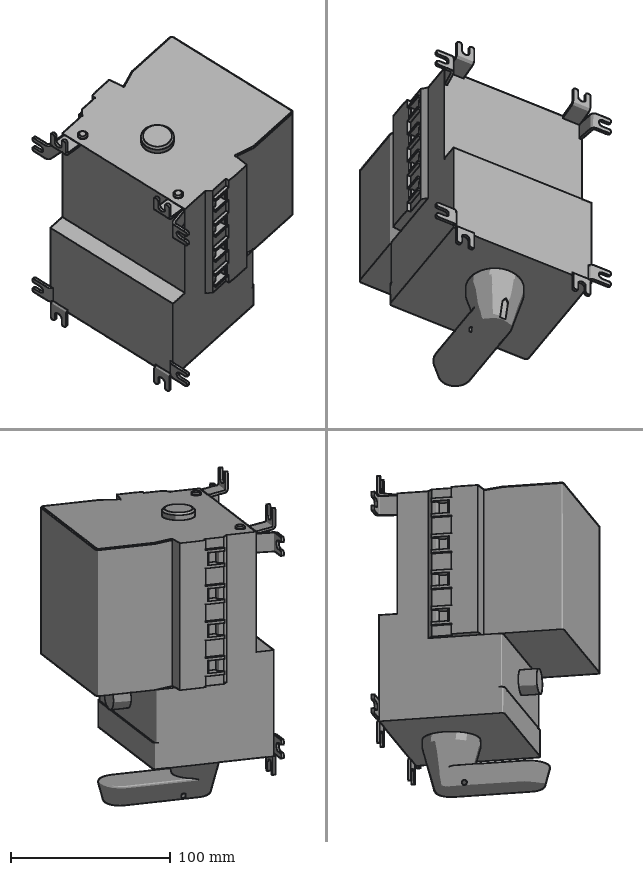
import cadquery as cq
import math

half_width = 49.8
housing_height = 148.0
lower_front_y = 0.0
upper_front_y = 11.8
step_z = 69.5
lower_back_y = 79.6

block_bottom_z = 52.0
block_back_y = 118.7
wing_half_width = 56.0
waist_half_width = 45.7
waist_y = 66.3
wing_back_y = 65.1
wing_slope_y = 52.5
terminal_face_x = 55.5
wing_front_y = 35.0
wing_foot_y = 31.5
channel_floor_x = 53.2
channel_back_y = 47.9
back_corner_radius = 2.2
cover_rim_chamfer = 0.8

terminal_count = 4
terminal_pitch = 23.5
terminal_height = 12.0
top_terminal_z = 135.5
pocket_height = 8.2
pocket_back_y = 46.3
pocket_front_y = 38.8
pocket_depth = 5.9
pocket_step = 1.0
pocket_step_depth = 1.4
pocket_lip_radius = 1.8

sheet = 1.8
bracket_width = 12.4
bracket_reach = 13.1
leg_root = 1.4
upper_leg_in = -2.4
upper_bend_in = 0.0
lower_leg_in = -3.7
lower_bend_in = -0.4
fork_slot_width = 5.5
fork_slot_depth = 8.8
fork_corner_radius = 1.5
bend_inner_radius = 1.2
bend_outer_radius = bend_inner_radius + sheet
upright_bracket_x = 42.0
side_bracket_heights = (8.0, 140.5)

cap_y = 45.0
cap_radius = 10.4
cap_height = 4.7
cap_chamfer = 1.4
screw_x = 38.8
screw_y = 18.5
screw_radius = 3.1
screw_height = 1.8
screw_chamfer = 1.0
button_radius = 8.0
button_z = 34.3
button_back_y = 91.5
plate_height = 17.3
plate_thickness = 0.8

handle_y = 34.7
handle_radius = 18.2
collar_height = 5.1
handle_drop = 35.0
handle_taper = 15.0
arm_top_drop = 20.5
arm_length = 49.5
handle_edge_radius = 3.1
arm_edge_radius = 1.2
pointer_width = 4.0
pointer_tip_drop = 20.2
pointer_shoulder_drop = 22.8
pointer_depth = 0.5
lock_hole_y = 45.7
lock_hole_z = -31.8
lock_hole_radius = 1.5


def box(x0, x1, y0, y1, z0, z1):
    return cq.Workplane("XY").box(x1 - x0, y1 - y0, z1 - z0, centered=False).translate((x0, y0, z0))


def both_sides(shape):
    """The shape together with its mirror image across X = 0."""
    return shape.union(shape.mirror("YZ"))


def make_housing():
    front_step = box(-half_width, half_width, lower_front_y, wing_foot_y, 0, step_z)
    lower = box(-half_width, half_width, lower_front_y, lower_back_y, 0, block_bottom_z)
    plate_back_y = lower_back_y + plate_thickness
    plate = box(-half_width, half_width, wing_foot_y, plate_back_y, 0, plate_height)
    lower = lower.edges("|Z and >Y").fillet(back_corner_radius)
    plate = plate.edges("|Z and >Y").fillet(back_corner_radius)
    right_edge = [
        (half_width, upper_front_y),
        (half_width, wing_foot_y),
        (channel_floor_x, wing_front_y),
        (channel_floor_x, channel_back_y),
        (terminal_face_x, channel_back_y),
        (wing_half_width, wing_slope_y),
        (wing_half_width, wing_back_y),
        (waist_half_width, waist_y),
        (half_width, lower_back_y),
        (half_width, block_back_y),
    ]
    left_edge = [(-x, y) for x, y in reversed(right_edge)]
    upper = (
        cq.Workplane("XY", origin=(0, 0, block_bottom_z))
        .polyline(right_edge + left_edge).close()
        .extrude(housing_height - block_bottom_z)
    )
    upper = upper.edges("|Z and >Y").fillet(back_corner_radius)
    behind_waist = cq.selectors.BoxSelector(
        (-wing_half_width, waist_y + cover_rim_chamfer / 2, housing_height - cover_rim_chamfer),
        (wing_half_width, block_back_y + cover_rim_chamfer, housing_height + cover_rim_chamfer),
    )
    upper = upper.edges(behind_waist).chamfer(cover_rim_chamfer)
    return lower.union(front_step).union(upper).union(plate)


def make_terminal(z):
    """The body of one terminal on the +X wing, centred at height z."""
    low = z - terminal_height / 2
    high = z + terminal_height / 2
    return box(channel_floor_x, terminal_face_x, wing_front_y, channel_back_y, low, high)


def make_pocket(z):
    """The wire pocket of one terminal, stepped at the back and open over a rounded lip at the front."""
    floor_x = terminal_face_x - pocket_depth
    step_x = terminal_face_x - pocket_step_depth
    return (
        cq.Workplane("XY", origin=(0, 0, z - pocket_height / 2))
        .moveTo(terminal_face_x, pocket_back_y)
        .lineTo(step_x, pocket_back_y)
        .lineTo(step_x, pocket_back_y - pocket_step)
        .lineTo(floor_x, pocket_back_y - pocket_step)
        .lineTo(floor_x, pocket_front_y)
        .lineTo(channel_floor_x - pocket_lip_radius, pocket_front_y)
        .radiusArc((channel_floor_x, pocket_front_y - pocket_lip_radius), pocket_lip_radius)
        .lineTo(channel_floor_x, wing_front_y)
        .lineTo(terminal_face_x, wing_front_y)
        .close()
        .extrude(pocket_height)
    )


def nearest(x, y, z):
    return cq.selectors.NearestToPointSelector((x, y, z))


def make_bracket(leg_in, leg_y, bend_in):
    """A bracket reaching along +X from a housing edge at X = 0, centred on Z = 0.

    The bent sheet runs from the leg end (leg_in, leg_y) to the bend at bend_in,
    then out along the mounting plane to a forked tip.
    """
    run = bend_in - leg_in
    rise = leg_y + sheet
    across = sheet * math.hypot(run, rise) / rise
    inner_bend_x = bend_in + across - sheet * run / rise
    sheet_body = (
        cq.Workplane("XY", origin=(0, 0, -bracket_width / 2))
        .moveTo(leg_in, leg_y)
        .lineTo(bend_in, -sheet)
        .lineTo(bracket_reach, -sheet)
        .lineTo(bracket_reach, 0)
        .lineTo(inner_bend_x, 0)
        .lineTo(leg_in + across, leg_y)
        .close()
        .extrude(bracket_width)
    )
    sheet_body = sheet_body.edges(nearest(inner_bend_x, 0, 0)).fillet(bend_inner_radius)
    sheet_body = sheet_body.edges(nearest(bend_in, -sheet, 0)).fillet(bend_outer_radius)
    slot_end = bracket_reach - fork_slot_depth
    slot_radius = fork_slot_width / 2
    slot = box(slot_end + slot_radius, bracket_reach, -sheet, 0, -slot_radius, slot_radius)
    slot = slot.union(
        cq.Workplane("XZ").center(slot_end + slot_radius, 0).circle(slot_radius).extrude(sheet)
    )
    forked = sheet_body.cut(slot)
    return forked.faces(">X").edges("|Y").fillet(fork_corner_radius)


def make_brackets():
    upper = make_bracket(leg_in=upper_leg_in, leg_y=upper_front_y + leg_root, bend_in=upper_bend_in)
    lower = make_bracket(leg_in=lower_leg_in, leg_y=lower_front_y + leg_root, bend_in=lower_bend_in)
    lower_z, upper_z = side_bracket_heights
    right = upper.translate((half_width, 0, upper_z)).union(lower.translate((half_width, 0, lower_z)))
    y_axis = ((0, 0, 0), (0, 1, 0))
    pointing_up = upper.rotate(*y_axis, -90).translate((upright_bracket_x, 0, housing_height))
    pointing_down = lower.rotate(*y_axis, 90).translate((upright_bracket_x, 0, 0))
    return both_sides(right.union(pointing_up).union(pointing_down))


def make_cap():
    cap = cq.Workplane("XY", origin=(0, cap_y, housing_height)).circle(cap_radius).extrude(cap_height)
    return cap.faces(">Z").edges().chamfer(cap_chamfer)


def make_screws():
    screw = (
        cq.Workplane("XY", origin=(screw_x, screw_y, housing_height))
        .circle(screw_radius).extrude(screw_height)
        .faces(">Z").edges().chamfer(screw_chamfer)
    )
    return both_sides(screw)


def make_button():
    length = button_back_y - lower_back_y
    return cq.Workplane("XZ", origin=(0, lower_back_y, button_z)).circle(button_radius).extrude(-length)


def make_handle():
    cone_height = handle_drop - collar_height
    slope = math.tan(math.radians(handle_taper))
    arm_radius = handle_radius - (arm_top_drop - collar_height) * slope
    collar = cq.Workplane("XY", origin=(0, handle_y, 0)).circle(handle_radius).extrude(-collar_height)
    cone = (
        cq.Workplane("XY", origin=(0, handle_y, -collar_height))
        .circle(handle_radius).extrude(-cone_height, taper=handle_taper)
        .faces("<Z").edges().fillet(handle_edge_radius)
    )
    arm = (
        cq.Workplane("XY", origin=(0, handle_y + arm_length / 2, -arm_top_drop))
        .slot2D(arm_length + 2 * arm_radius, 2 * arm_radius, 90)
        .extrude(-(handle_drop - arm_top_drop), taper=handle_taper)
        .faces("<Z").edges().fillet(handle_edge_radius)
        .faces(">Z").edges().fillet(arm_edge_radius)
    )
    lock_hole = (
        cq.Workplane("YZ", origin=(-half_width, lock_hole_y, lock_hole_z))
        .circle(lock_hole_radius)
        .extrude(2 * half_width)
    )
    return collar.union(cone).union(arm).cut(lock_hole).cut(make_pointer(slope))


def make_pointer(slope):
    """A shallow pointed groove that runs down the front of the handle cone."""
    bottom_y = handle_y - handle_radius + (handle_drop - collar_height) * slope
    strip = (
        cq.Workplane("YZ", origin=(-pointer_width / 2, 0, 0))
        .moveTo(handle_y - handle_radius, -collar_height)
        .lineTo(bottom_y, -handle_drop)
        .line(pointer_depth, 0)
        .lineTo(handle_y - handle_radius + pointer_depth, -collar_height)
        .close()
        .extrude(pointer_width)
    )
    arrow = (
        cq.Workplane("XZ", origin=(0, handle_y, 0))
        .moveTo(0, -pointer_tip_drop)
        .lineTo(pointer_width / 2, -pointer_shoulder_drop)
        .lineTo(pointer_width / 2, -handle_drop)
        .lineTo(-pointer_width / 2, -handle_drop)
        .lineTo(-pointer_width / 2, -pointer_shoulder_drop)
        .close()
        .extrude(handle_radius)
    )
    return strip.intersect(arrow)


terminal_heights = [top_terminal_z - i * terminal_pitch for i in range(terminal_count)]

result = make_housing()
for z in terminal_heights:
    result = result.union(both_sides(make_terminal(z)))
    result = result.cut(both_sides(make_pocket(z)))
for feature in (make_brackets(), make_cap(), make_screws(), make_button(), make_handle()):
    result = result.union(feature)